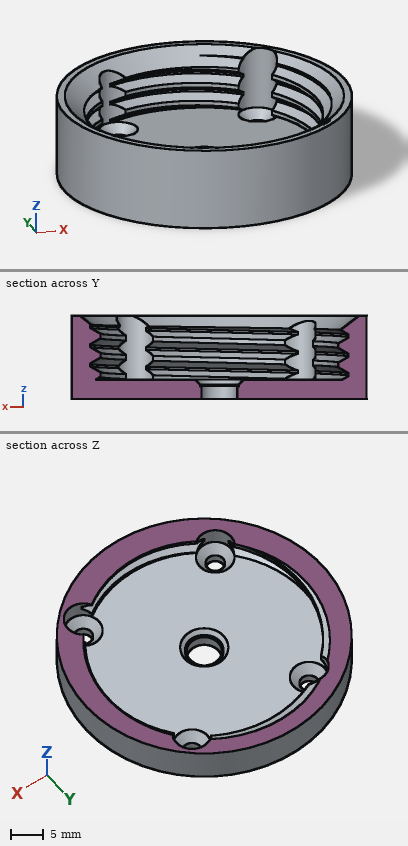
import cadquery as cq
import math

outer_diameter = 46.0
height = 13.0
floor_thickness = 3.0

thread_pitch = 3.0
thread_crest_diameter = 37.0
sharp_thread_height = thread_pitch * math.sqrt(3) / 2
thread_depth = 5 / 8 * sharp_thread_height
thread_root_width = thread_pitch / 8
thread_mouth_width = thread_pitch * 3 / 4
thread_turns = 5
thread_start_height = -0.7

lead_in_diameter = 43.5
lead_in_depth = 2.53

screw_positions = [(-9.5, 14.5), (13.0, 14.0), (-12.0, -13.0), (13.0, -14.0)]
screw_hole_diameter = 3.0
screw_head_diameter = 6.0
screw_head_depth = (screw_head_diameter - screw_hole_diameter) / 2

centre_hole_diameter = 5.51
centre_step_diameter = 6.0
centre_step_depth = 1.0
centre_chamfer_diameter = 7.5
centre_chamfer_depth = (centre_chamfer_diameter - centre_step_diameter) / 2

groove_overlap = 0.1
bore_overrun = 5.0


def cylinder(diameter, bottom, top):
    return cq.Workplane("XY").workplane(offset=bottom).circle(diameter / 2).extrude(top - bottom)


def cone(bottom_diameter, bottom, top_diameter, top):
    solid = cq.Solid.makeCone(
        bottom_diameter / 2, top_diameter / 2, top - bottom, pnt=cq.Vector(0, 0, bottom)
    )
    return cq.Workplane(solid)


def thread_groove():
    """Helical trapezoid that reaches slightly inside the crest, longer than the cup is deep."""
    crest_radius = thread_crest_diameter / 2
    root_radius = crest_radius + thread_depth
    flank_slope = (thread_mouth_width - thread_root_width) / 2 / thread_depth
    inner_half = thread_mouth_width / 2 + groove_overlap * flank_slope
    root_half = thread_root_width / 2
    helix = cq.Wire.makeHelix(
        thread_pitch, thread_pitch * thread_turns, crest_radius, center=cq.Vector(0, 0, thread_start_height)
    )
    return (
        cq.Workplane("XZ")
        .moveTo(crest_radius - groove_overlap, thread_start_height - inner_half)
        .lineTo(root_radius, thread_start_height - root_half)
        .lineTo(root_radius, thread_start_height + root_half)
        .lineTo(crest_radius - groove_overlap, thread_start_height + inner_half)
        .close()
        .sweep(cq.Workplane(helix), isFrenet=True)
    )


def threaded_cavity():
    """Bore and groove run past both ends, then are trimmed between the floor and the rim."""
    bore = cylinder(thread_crest_diameter, -bore_overrun, height + bore_overrun)
    return bore.union(thread_groove()).intersect(cylinder(outer_diameter, floor_thickness, height))


def screw_hole_cutter():
    """Through hole, countersink below the floor and head clearance up to the rim."""
    hole = cylinder(screw_hole_diameter, 0, height)
    sink = cone(
        screw_hole_diameter, floor_thickness - screw_head_depth, screw_head_diameter, floor_thickness
    )
    clearance = cylinder(screw_head_diameter, floor_thickness, height)
    return hole.union(sink).union(clearance)


def centre_hole_cutter():
    """Through hole with a shallow wider step and a chamfer at the floor."""
    hole = cylinder(centre_hole_diameter, 0, floor_thickness)
    step = cylinder(centre_step_diameter, floor_thickness - centre_step_depth, floor_thickness)
    chamfer = cone(
        centre_step_diameter, floor_thickness - centre_chamfer_depth, centre_chamfer_diameter, floor_thickness
    )
    return hole.union(step).union(chamfer)


body = cylinder(outer_diameter, 0, height)
body = body.cut(threaded_cavity())
body = body.cut(cone(thread_crest_diameter, height - lead_in_depth, lead_in_diameter, height))
for x, y in screw_positions:
    body = body.cut(screw_hole_cutter().translate((x, y, 0)))
result = body.cut(centre_hole_cutter())